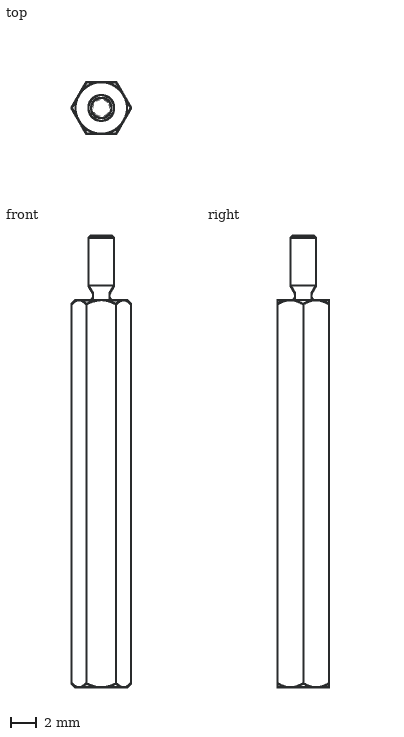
import cadquery as cq
import math

total_length = 35.0
stud_length = 5.0
body_length = total_length - stud_length
across_corners = 4.62

across_flats = across_corners * math.cos(math.radians(30))
end_chamfer_angle = 45.0

stud_radius = 2.0 / 2
tip_radius = 1.58 / 2
tip_chamfer_height = 0.2
neck_radius = 1.3 / 2
neck_fillet = 0.25
undercut_length = 1.12
undercut_angle = 30.0


def make_body():
    """Hexagonal bar trimmed by a round blank with conical ends."""
    corner_radius = across_corners / 2
    face_radius = across_flats / 2
    chamfer_height = (corner_radius - face_radius) * math.tan(math.radians(end_chamfer_angle))
    bar = cq.Workplane("XY").polygon(6, across_corners).extrude(body_length)
    blank = (
        cq.Workplane("XZ")
        .moveTo(0, 0)
        .lineTo(face_radius, 0)
        .lineTo(corner_radius, chamfer_height)
        .lineTo(corner_radius, body_length - chamfer_height)
        .lineTo(face_radius, body_length)
        .lineTo(0, body_length)
        .close()
        .revolve(360, (0, 0), (0, 1))
    )
    return bar.intersect(blank)


def make_stud():
    """Revolved stud: flared root, neck, rounded conical shoulder, shank and chamfered tip."""
    slope = math.radians(undercut_angle)
    shank_start = body_length + undercut_length
    cone_start = shank_start - (stud_radius - neck_radius) / math.tan(slope)

    tangent_length = neck_fillet * math.tan(slope / 2)
    fillet_start = cone_start - tangent_length
    fillet_center_r = neck_radius + neck_fillet

    def fillet_point(angle):
        return (
            fillet_center_r - neck_fillet * math.cos(angle),
            fillet_start + neck_fillet * math.sin(angle),
        )

    mid_angle = math.radians(45)
    root_top = body_length + neck_fillet
    root_middle = (
        fillet_center_r - neck_fillet * math.cos(mid_angle),
        root_top - neck_fillet * math.sin(mid_angle),
    )
    return (
        cq.Workplane("XZ")
        .moveTo(0, body_length)
        .lineTo(fillet_center_r, body_length)
        .threePointArc(root_middle, (neck_radius, root_top))
        .lineTo(neck_radius, fillet_start)
        .threePointArc(fillet_point(slope / 2), fillet_point(slope))
        .lineTo(stud_radius, shank_start)
        .lineTo(stud_radius, total_length - tip_chamfer_height)
        .lineTo(tip_radius, total_length)
        .lineTo(0, total_length)
        .close()
        .revolve(360, (0, 0), (0, 1))
    )


result = make_body().union(make_stud())